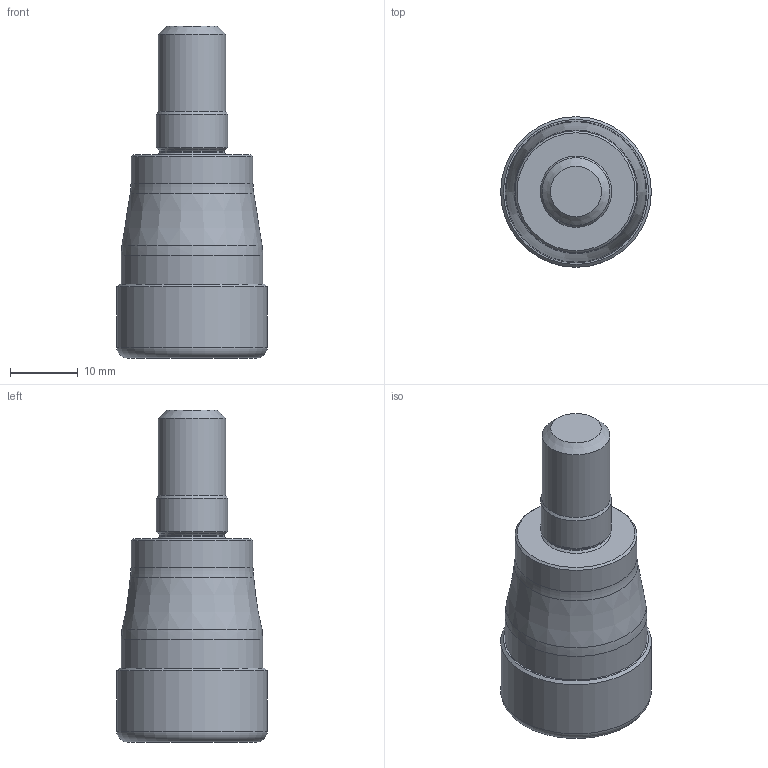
import cadquery as cq
import math

total_height = 49.0
cap_height = 10.9
taper_bottom = 15.9
taper_top = 25.0
shoulder_height = 30.0
collar_bottom = 31.0
collar_top = 36.4

cap_diameter = 22.225
barrel_diameter = 20.9
neck_diameter = 18.0
collar_diameter = 10.5
shank_diameter = 10.0
relief_diameter = 9.6

base_fillet = 1.6
cap_chamfer = 0.4
shoulder_chamfer = 0.3
collar_top_chamfer = 0.4
tip_chamfer = 1.25
taper_blend_length = 0.75

relief_flare = 0.3
relief_width = 0.2

cap_radius = cap_diameter / 2
barrel_radius = barrel_diameter / 2
neck_radius = neck_diameter / 2
collar_radius = collar_diameter / 2
shank_radius = shank_diameter / 2
relief_radius = relief_diameter / 2


def revolve_about_z(profile):
    """Full turn of an XZ half profile about the Z axis."""
    return profile.revolve(360, (0, 0, 0), (0, 1, 0))


def make_cap():
    """Solid round end cap with a rounded lower rim and a chamfered upper rim."""
    profile = (
        cq.Workplane("XZ")
        .lineTo(cap_radius - base_fillet, 0)
        .radiusArc((cap_radius, base_fillet), -base_fillet)
        .lineTo(cap_radius, cap_height - cap_chamfer)
        .lineTo(cap_radius - cap_chamfer, cap_height)
        .lineTo(0, cap_height)
        .close()
    )
    return revolve_about_z(profile)


def add_barrel(profile):
    """Barrel, taper with a tangent arc at each end, and neck up to the shoulder."""
    taper_angle = math.atan2(barrel_radius - neck_radius, taper_top - taper_bottom)
    blend_radius = taper_blend_length / math.tan(taper_angle / 2)
    blend_inset = taper_blend_length * math.sin(taper_angle)
    blend_rise = taper_blend_length * math.cos(taper_angle)
    return (
        profile.lineTo(barrel_radius, cap_height)
        .lineTo(barrel_radius, taper_bottom - taper_blend_length)
        .radiusArc((barrel_radius - blend_inset, taper_bottom + blend_rise), -blend_radius)
        .lineTo(neck_radius + blend_inset, taper_top - blend_rise)
        .radiusArc((neck_radius, taper_top + taper_blend_length), blend_radius)
        .lineTo(neck_radius, shoulder_height - shoulder_chamfer)
        .lineTo(neck_radius - shoulder_chamfer, shoulder_height)
    )


def add_stud(profile):
    """Relief groove, pilot collar and chamfered shank above the shoulder."""
    collar_step = collar_radius - shank_radius
    relief_bottom = shoulder_height + relief_flare
    return (
        profile.lineTo(relief_radius + relief_flare, shoulder_height)
        .lineTo(relief_radius, relief_bottom)
        .lineTo(relief_radius, relief_bottom + relief_width)
        .lineTo(shank_radius, collar_bottom - collar_step)
        .lineTo(collar_radius, collar_bottom)
        .lineTo(collar_radius, collar_top - collar_top_chamfer)
        .lineTo(shank_radius, collar_top)
        .lineTo(shank_radius, total_height - tip_chamfer)
        .lineTo(shank_radius - tip_chamfer, total_height)
        .lineTo(0, total_height)
    )


def make_holder():
    """Tapered holder and its stud, turned as one piece, standing on the cap."""
    profile = cq.Workplane("XZ").moveTo(0, cap_height)
    profile = add_barrel(profile)
    profile = add_stud(profile)
    return revolve_about_z(profile.close())


cap = make_cap()
holder = make_holder()

result = cq.Compound.makeCompound([cap.val(), holder.val()])